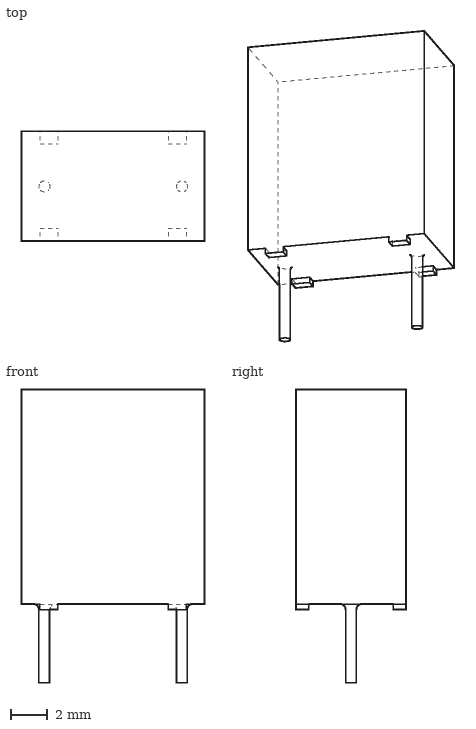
import cadquery as cq


case_length = 10.0
case_width = 6.0
seated_height = 12.0

foot_height = 0.3
foot_length = 1.0
foot_width = 0.7
foot_inset = 1.0

lead_diameter = 0.6
lead_pitch = 7.5
lead_reach = 4.0

SIDES = (-1, 1)


def make_case():
    case_height = seated_height - foot_height
    return (
        cq.Workplane("XY")
        .workplane(offset=foot_height)
        .box(case_length, case_width, case_height, centered=(True, True, False))
    )


def make_feet():
    foot_x = case_length / 2 - foot_inset - foot_length / 2
    foot_y = case_width / 2 - foot_width / 2
    foot_centers = [(sx * foot_x, sy * foot_y) for sx in SIDES for sy in SIDES]
    return (
        cq.Workplane("XY")
        .pushPoints(foot_centers)
        .rect(foot_length, foot_width)
        .extrude(foot_height)
    )


def make_lead(lead_x):
    """Round lead that flares out to the case underside in a concave quarter-circle."""
    lead_radius = lead_diameter / 2
    flare_radius = foot_height
    flare_outer = lead_radius + flare_radius
    arc_middle = flare_radius * 0.5**0.5
    profile = (
        cq.Workplane("XZ")
        .moveTo(0, -lead_reach)
        .lineTo(lead_radius, -lead_reach)
        .lineTo(lead_radius, 0)
        .threePointArc((flare_outer - arc_middle, arc_middle), (flare_outer, foot_height))
        .lineTo(0, foot_height)
        .close()
    )
    lead = profile.revolve(360, (0, 0, 0), (0, 1, 0))
    return lead.translate((lead_x, 0, 0))


result = make_case().union(make_feet())
for side in SIDES:
    result = result.union(make_lead(side * lead_pitch / 2))